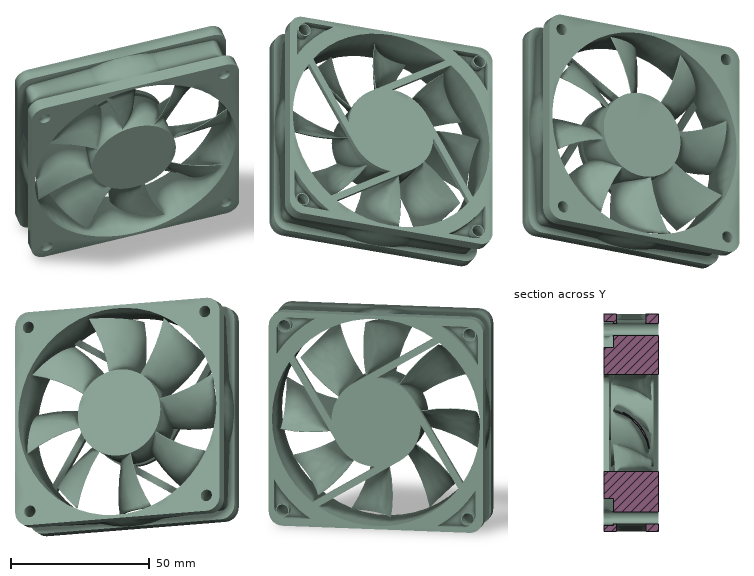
import cadquery as cq
import math

SIDE = 79.0
DEPTH = 20.0
FLANGE_THICKNESS = 4.7
CORNER_RADIUS = 5.05
BORE_RADIUS = 38.3
WAIST_RADIUS = 39.4
ARCH_HALF_ANGLE = 17.5
CORNERS = 4
QUARTER = 360 / CORNERS

BOSS_Y = 33.8
BOSS_Z = 34.45
BOSS_RADIUS = 2.45
HOLE_RADIUS = 2.1

POCKET_Y = 36.65
POCKET_Z = 37.6
POCKET_INNER_RADIUS = 43.8
POCKET_CORNER_RADIUS = 4.6
POCKET_DEPTH = 3.4

PLATE_RADIUS = 16.4
PLATE_THICKNESS = 2.0
STRUT_WIDTH = 2.45
STRUT_TILT = 31.0
STRUT_COUNT = 4
WALL_OVERLAP = 0.4

HUB_RADIUS = 15.95
HUB_FRONT = 2.8
HUB_REAR = 18.2
SHAFT_RADIUS = 6.3
BLADE_COUNT = 8
BLADE_EDGE = 0.2
BLADE_BULGE = 0.2
BLADE_SECTIONS = [
    (14.2, 3.3, 3.9, 17.4, -3.95, 1.2),
    (23.15, 3.95, 5.2, 17.15, -6.1, 1.7),
    (30.3, 4.3, 5.3, 16.9, -9.1, 2.45),
    (35.95, 4.4, 4.7, 16.7, -12.25, 3.3),
]


def turned(shape, angle):
    """Turn a shape about the fan axis."""
    return shape.rotate((0, 0, 0), (1, 0, 0), angle)


def disc(radius, x_start, x_end):
    """Cylinder on the fan axis."""
    return cq.Workplane("YZ", origin=(x_start, 0, 0)).circle(radius).extrude(x_end - x_start)


def flange(x_start):
    plate = cq.Workplane("YZ", origin=(x_start, 0, 0)).rect(SIDE, SIDE).extrude(FLANGE_THICKNESS)
    return plate.edges("|X").fillet(CORNER_RADIUS)


def polar(radius, angle):
    """Point about the fan axis, with the angle in degrees from Y towards Z."""
    return radius * math.cos(math.radians(angle)), radius * math.sin(math.radians(angle))


def waist():
    """Duct wall between the flanges: an arch on each side, sloping in by flats to the bosses."""
    boss_angle = math.degrees(math.atan2(BOSS_Z, BOSS_Y))
    boss_distance = math.hypot(BOSS_Y, BOSS_Z)
    half_turn = QUARTER / 2
    outline = cq.Workplane("YZ", origin=(FLANGE_THICKNESS, 0, 0))
    outline = outline.moveTo(*polar(WAIST_RADIUS, boss_angle - half_turn + ARCH_HALF_ANGLE))
    for corner in range(CORNERS):
        angle = boss_angle + corner * QUARTER
        boss_y, boss_z = polar(boss_distance, angle)
        boss_arc = []
        for turn in (-half_turn, 0, half_turn):
            offset_y, offset_z = polar(BOSS_RADIUS, angle + turn)
            boss_arc.append((boss_y + offset_y, boss_z + offset_z))
        arch_middle = angle + half_turn
        outline = (
            outline.lineTo(*boss_arc[0])
            .threePointArc(boss_arc[1], boss_arc[2])
            .lineTo(*polar(WAIST_RADIUS, arch_middle - ARCH_HALF_ANGLE))
            .threePointArc(
                polar(WAIST_RADIUS, arch_middle),
                polar(WAIST_RADIUS, arch_middle + ARCH_HALF_ANGLE),
            )
        )
    return outline.close().extrude(DEPTH - 2 * FLANGE_THICKNESS)


def corner_pocket():
    """Triangular pocket around a boss, bounded inside by an arc about the fan axis."""
    block = cq.Workplane("YZ").rect(POCKET_Y, POCKET_Z, centered=False).extrude(POCKET_DEPTH)
    block = block.edges("|X and >Y and >Z").fillet(POCKET_CORNER_RADIUS)
    boss = cq.Workplane("YZ").center(BOSS_Y, BOSS_Z).circle(BOSS_RADIUS).extrude(POCKET_DEPTH)
    return block.cut(disc(POCKET_INNER_RADIUS, 0, POCKET_DEPTH)).cut(boss)


def strut():
    length = BORE_RADIUS + WALL_OVERLAP
    bar = (
        cq.Workplane("YZ")
        .center(-length / 2, PLATE_RADIUS - STRUT_WIDTH / 2)
        .rect(length, STRUT_WIDTH)
        .extrude(PLATE_THICKNESS)
    )
    return turned(bar.intersect(disc(length, 0, PLATE_THICKNESS)), -STRUT_TILT)


def blade_section(height, front_x, front_y, rear_x, rear_y, camber):
    """Thin cambered section, blunt at both edges and thickest at mid chord."""
    chord = math.hypot(rear_x - front_x, rear_y - front_y)
    normal_x = (front_y - rear_y) / chord
    normal_y = (rear_x - front_x) / chord
    mid_x = (front_x + rear_x) / 2
    mid_y = (front_y + rear_y) / 2

    def shifted(x, y, distance):
        return cq.Vector(x + normal_x * distance, y + normal_y * distance, height)

    half_edge = BLADE_EDGE / 2
    half_middle = half_edge + BLADE_BULGE
    front = [shifted(front_x, front_y, side * half_edge) for side in (1, -1)]
    rear = [shifted(rear_x, rear_y, side * half_edge) for side in (1, -1)]
    middle = [shifted(mid_x, mid_y, camber + side * half_middle) for side in (1, -1)]
    return cq.Wire.assembleEdges(
        [
            cq.Edge.makeThreePointArc(front[0], middle[0], rear[0]),
            cq.Edge.makeLine(rear[0], rear[1]),
            cq.Edge.makeThreePointArc(rear[1], middle[1], front[1]),
            cq.Edge.makeLine(front[1], front[0]),
        ]
    )


def blade():
    sections = [blade_section(*section) for section in BLADE_SECTIONS]
    return cq.Workplane(cq.Solid.makeLoft(sections))


frame = flange(0).union(waist()).union(flange(DEPTH - FLANGE_THICKNESS))
frame = frame.cut(disc(BORE_RADIUS, 0, DEPTH))
hole = cq.Workplane("YZ").center(BOSS_Y, BOSS_Z).circle(HOLE_RADIUS).extrude(DEPTH)
for corner in range(CORNERS):
    angle = corner * QUARTER
    frame = frame.cut(turned(corner_pocket(), angle)).cut(turned(hole, angle))

mount = disc(PLATE_RADIUS, 0, PLATE_THICKNESS)
for index in range(STRUT_COUNT):
    mount = mount.union(turned(strut(), index * 360 / STRUT_COUNT))

rotor = disc(HUB_RADIUS, HUB_FRONT, HUB_REAR).union(disc(SHAFT_RADIUS, 0, HUB_FRONT))
for index in range(BLADE_COUNT):
    rotor = rotor.union(turned(blade(), index * 360 / BLADE_COUNT))

result = frame.union(mount).union(rotor)